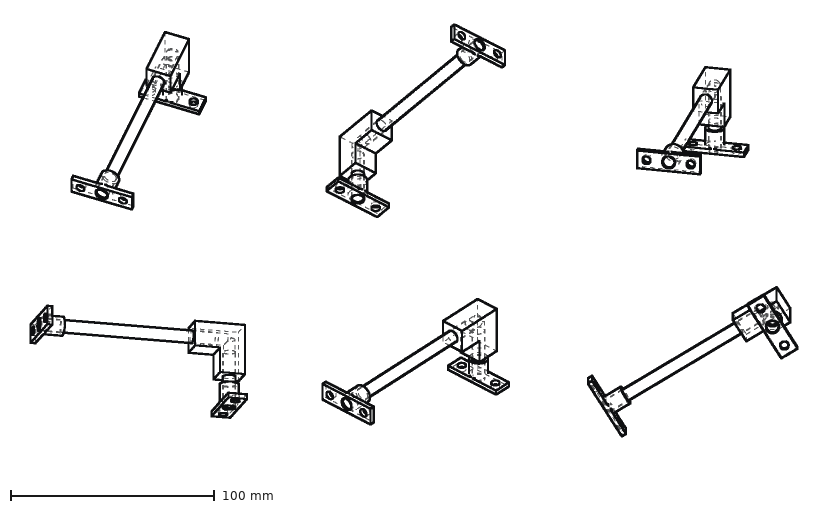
import cadquery as cq
import math

arm_width = 12.7
arm_length = 2 * arm_width
drill_point_angle = 118.0

tube_diameter = 6.4
tube_wall = 0.3
tube_radius = tube_diameter / 2
bore_radius = tube_radius - tube_wall

plate_length = 31.8
plate_width = 9.5
plate_thickness = 2.5
collar_diameter = plate_width
collar_height = 9.5
foot_height = plate_thickness + collar_height
fillet_radius = 0.5
tube_recess = 0.7
screw_hole_diameter = 4.1
screw_hole_edge = 4.7
screw_hole_spacing = plate_length - 2 * screw_hole_edge

overall_depth = 103.2
overall_height = 41.3
half_arm = arm_width / 2
front_reach = overall_depth - half_arm
lower_reach = overall_height - half_arm
socket_end = arm_length - half_arm
stop_distance = half_arm


def to_front(shape):
    """Turn a shape built along -Z so that it points along -Y."""
    return shape.rotate((0, 0, 0), (1, 0, 0), -90)


def make_drilling():
    """Blind passage along -Z with a drill-point end, opening into a wider tube socket."""
    point_height = bore_radius / math.tan(math.radians(drill_point_angle / 2))
    return (
        cq.Workplane("XZ")
        .moveTo(0, point_height)
        .lineTo(bore_radius, 0)
        .lineTo(bore_radius, -stop_distance)
        .lineTo(tube_radius, -stop_distance)
        .lineTo(tube_radius, -socket_end)
        .lineTo(0, -socket_end)
        .close()
        .revolve(360, (0, 0, 0), (0, 1, 0))
    )


def make_elbow():
    """L-shaped block with one drilled passage down each arm."""
    block = (
        cq.Workplane("YZ")
        .moveTo(half_arm, half_arm)
        .lineTo(-socket_end, half_arm)
        .lineTo(-socket_end, -half_arm)
        .lineTo(-half_arm, -half_arm)
        .lineTo(-half_arm, -socket_end)
        .lineTo(half_arm, -socket_end)
        .close()
        .extrude(half_arm, both=True)
    )
    drilling = make_drilling()
    return block.cut(drilling).cut(to_front(drilling))


def make_tube(reach):
    """Tube along -Z from the elbow's socket stop to just short of the outer face of the foot plate."""
    tube_length = reach - tube_recess - stop_distance
    return (
        cq.Workplane("XY")
        .workplane(offset=-stop_distance)
        .circle(tube_radius)
        .circle(bore_radius)
        .extrude(-tube_length)
    )


def make_foot(reach):
    """Screw plate with a collar filleted at its base, its outer face at z = -reach."""
    plate = cq.Workplane("XY").rect(plate_length, plate_width).extrude(plate_thickness)
    collar_radius = collar_diameter / 2
    arc_inset = fillet_radius * (1 - math.sqrt(0.5))
    collar = (
        cq.Workplane("XZ")
        .lineTo(collar_radius + fillet_radius, 0)
        .lineTo(collar_radius + fillet_radius, plate_thickness)
        .threePointArc(
            (collar_radius + arc_inset, plate_thickness + arc_inset),
            (collar_radius, plate_thickness + fillet_radius),
        )
        .lineTo(collar_radius, foot_height)
        .lineTo(0, foot_height)
        .close()
        .revolve(360, (0, 0, 0), (0, 1, 0))
    )
    footprint = cq.Workplane("XY").rect(plate_length, plate_width).extrude(foot_height)
    tube_hole = cq.Workplane("XY").circle(tube_radius).extrude(foot_height)
    screw_holes = (
        cq.Workplane("XY")
        .rarray(screw_hole_spacing, 1, 2, 1)
        .circle(screw_hole_diameter / 2)
        .extrude(plate_thickness)
    )
    foot = plate.union(collar.intersect(footprint)).cut(tube_hole).cut(screw_holes)
    return foot.translate((0, 0, -reach))


elbow = make_elbow()
bodies = [elbow.val()]

for reach, points_forward in ((lower_reach, False), (front_reach, True)):
    for body in (make_tube(reach), make_foot(reach)):
        placed = to_front(body) if points_forward else body
        bodies.append(placed.val())

result = cq.Compound.makeCompound(bodies)